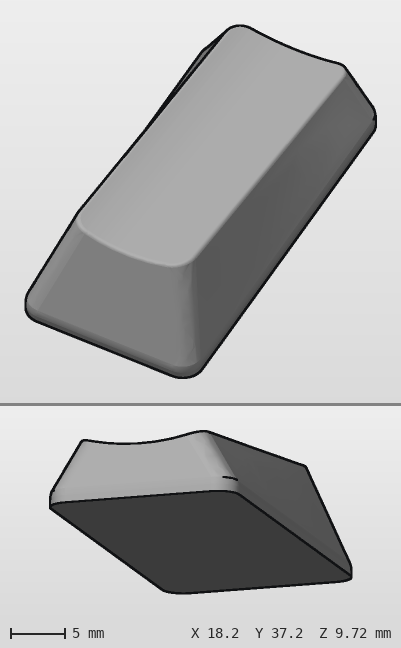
import cadquery as cq
import math

BASE_WIDTH = 18.16
BASE_LENGTH = 37.21
BASE_CORNER_RADIUS = 2.03
SKIRT_HEIGHT = 0.68

BLEND_HEIGHT = 0.66
BLEND_STAGES = (0, 0.5, 1)

FACE_WIDTH = 12.04
FACE_FRONT_Y = -14.0
FACE_REAR_Y = 18.15
FACE_FRONT_HEIGHT = 9.99
FACE_REAR_HEIGHT = 6.13
FACE_CORNER_RADIUS = 1.9

DISH_RADIUS = 20.0
DISH_DEPTH = 0.93
DISH_OVERRUN = 10.0
RIM_RADIUS = 0.4

face_run = FACE_REAR_Y - FACE_FRONT_Y
face_drop = FACE_FRONT_HEIGHT - FACE_REAR_HEIGHT
face_length = math.hypot(face_run, face_drop)
face_mid_height = (FACE_FRONT_HEIGHT + FACE_REAR_HEIGHT) / 2
face_plane = cq.Plane(
    origin=(0, (FACE_FRONT_Y + FACE_REAR_Y) / 2, face_mid_height),
    xDir=(1, 0, 0),
    normal=(0, face_drop, face_run),
)

wall_foot = SKIRT_HEIGHT + BLEND_HEIGHT / 2
side_lean = (BASE_WIDTH - FACE_WIDTH) / 2 / (face_mid_height - wall_foot)
front_lean = (BASE_LENGTH / 2 + FACE_FRONT_Y) / (FACE_FRONT_HEIGHT - wall_foot)
rear_lean = (BASE_LENGTH / 2 - FACE_REAR_Y) / (FACE_REAR_HEIGHT - wall_foot)


def rounded_outline(plane, width, length, radius):
    """Closed rounded rectangle centred on the plane origin."""
    outline = cq.Workplane("XY").rect(width, length).val()
    return outline.fillet2D(radius, outline.Vertices()).moved(cq.Location(plane))


def blend_outline(stage):
    """Outline of the blend band; its walls follow parabolas, vertical at stage 0."""
    reach = BLEND_HEIGHT * stage**2 / 2
    front_y = -BASE_LENGTH / 2 + front_lean * reach
    rear_y = BASE_LENGTH / 2 - rear_lean * reach
    plane = cq.Plane(origin=(0, (front_y + rear_y) / 2, SKIRT_HEIGHT + BLEND_HEIGHT * stage))
    side_inset = side_lean * reach
    width = BASE_WIDTH - 2 * side_inset
    return rounded_outline(plane, width, rear_y - front_y, BASE_CORNER_RADIUS - side_inset)


def make_skirt():
    """Straight-walled band at the bottom of the cap."""
    skirt = cq.Workplane("XY").rect(BASE_WIDTH, BASE_LENGTH).extrude(SKIRT_HEIGHT)
    return skirt.edges("|Z").fillet(BASE_CORNER_RADIUS)


def make_blend():
    """Curved band between the skirt and the sloping walls."""
    return cq.Workplane(cq.Solid.makeLoft([blend_outline(stage) for stage in BLEND_STAGES]))


def make_tapered_body():
    """Ruled walls from the top of the blend band to the sloping top outline."""
    upper = rounded_outline(face_plane, FACE_WIDTH, face_length, FACE_CORNER_RADIUS)
    return cq.Workplane(cq.Solid.makeLoft([blend_outline(BLEND_STAGES[-1]), upper], True))


def make_dish_cutter():
    """Cylinder parallel to the sloping top, dipping DISH_DEPTH below it at the centre line."""
    cutter_length = face_length + 2 * DISH_OVERRUN
    start = face_plane.toWorldCoords((0, -cutter_length / 2, DISH_RADIUS - DISH_DEPTH))
    return cq.Workplane(cq.Solid.makeCylinder(DISH_RADIUS, cutter_length, start, face_plane.yDir))


def round_rim(cap):
    """Round the whole edge between the dished top and the walls."""
    dish_face = cap.faces("%CYLINDER").faces(">Z").val()
    return cap.newObject(dish_face.Edges()).fillet(RIM_RADIUS)


cap = make_skirt().union(make_blend()).union(make_tapered_body())
cap = cap.cut(make_dish_cutter())
result = round_rim(cap)